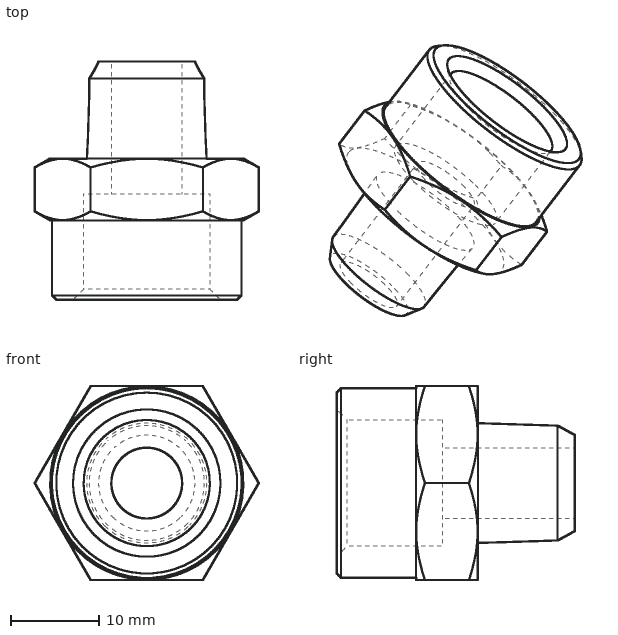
import cadquery as cq
import math

socket_length = 9.0
hex_length = 7.0
spigot_length = 11.0
total_length = socket_length + hex_length + spigot_length

across_flats = 22.0
across_corners = across_flats / math.cos(math.radians(30))
hex_chamfer_angle = 30.0
hex_face_diameter = 21.9

socket_diameter = 21.5
socket_chamfer = 0.5
bore_diameter = 14.3
bore_mouth_diameter = 16.7
bore_chamfer_angle = 45.0
bore_depth = 12.0

taper = 1 / 16
spigot_root_diameter = 13.6
spigot_tip_diameter = 10.9
spigot_tip_length = 1.95
through_diameter = 8.0


def revolve_about_y(points):
    """Solid of revolution about Y from (radius, y) points, drawn in the plane X = 0."""
    return cq.Workplane("ZY").polyline(points).close().revolve(360, (0, 0, 0), (0, 1, 0))


def make_hexagon():
    """Hexagon with corners on X, its corners turned off by a cone at both faces."""
    prism = (
        cq.Workplane("XZ", origin=(0, socket_length, 0))
        .polygon(6, across_corners)
        .extrude(-hex_length)
    )
    face_radius = hex_face_diameter / 2
    outer_radius = across_corners / 2
    drop = (outer_radius - face_radius) * math.tan(math.radians(hex_chamfer_angle))
    front = socket_length
    back = socket_length + hex_length
    envelope = revolve_about_y([
        (0, front),
        (face_radius, front),
        (outer_radius, front + drop),
        (outer_radius, back - drop),
        (face_radius, back),
        (0, back),
    ])
    return prism.intersect(envelope)


def make_socket():
    """Cylindrical end with a chamfered outer rim."""
    radius = socket_diameter / 2
    return revolve_about_y([
        (0, 0),
        (radius - socket_chamfer, 0),
        (radius, socket_chamfer),
        (radius, socket_length),
        (0, socket_length),
    ])


def make_spigot():
    """Slightly tapered end with a steeper cone at the tip."""
    root_y = socket_length + hex_length
    root_radius = spigot_root_diameter / 2
    tapered_length = spigot_length - spigot_tip_length
    shoulder_radius = root_radius - tapered_length * taper / 2
    return revolve_about_y([
        (0, root_y),
        (root_radius, root_y),
        (shoulder_radius, root_y + tapered_length),
        (spigot_tip_diameter / 2, total_length),
        (0, total_length),
    ])


def make_bore():
    """Stepped bore: countersunk mouth, blind socket bore, then the through hole."""
    mouth_radius = bore_mouth_diameter / 2
    bore_radius = bore_diameter / 2
    hole_radius = through_diameter / 2
    mouth_depth = (mouth_radius - bore_radius) / math.tan(math.radians(bore_chamfer_angle))
    return revolve_about_y([
        (0, 0),
        (mouth_radius, 0),
        (bore_radius, mouth_depth),
        (bore_radius, bore_depth),
        (hole_radius, bore_depth),
        (hole_radius, total_length),
        (0, total_length),
    ])


result = make_socket().union(make_hexagon()).union(make_spigot()).cut(make_bore())